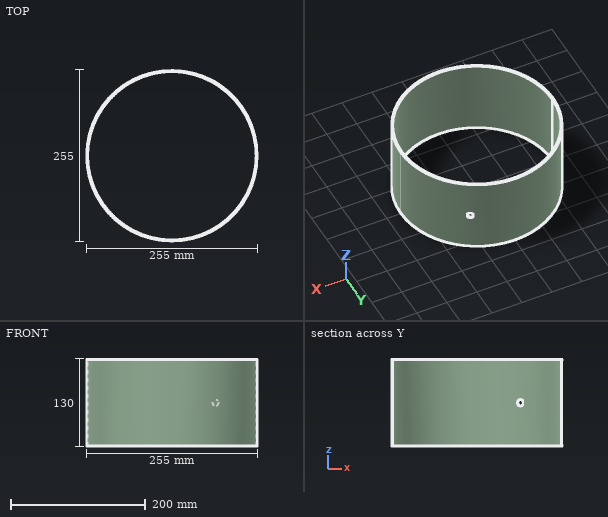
import cadquery as cq

outer_diameter = 255.0
height = 130.0
wall = 2.42

bevel_width = 0.71
bevel_height = 1.4

split_width = 2.0

hole_diameter = 10.0
hole_angle = 59.0

outer_radius = outer_diameter / 2
inner_radius = outer_radius - wall


def make_band():
    """Revolve the wall section, an upright strip with four bevelled corners."""
    rim_z = height / 2
    bevel_z = rim_z - bevel_height
    rim_inner = inner_radius + bevel_width
    rim_outer = outer_radius - bevel_width
    section = [
        (rim_inner, -rim_z),
        (rim_outer, -rim_z),
        (outer_radius, -bevel_z),
        (outer_radius, bevel_z),
        (rim_outer, rim_z),
        (rim_inner, rim_z),
        (inner_radius, bevel_z),
        (inner_radius, -bevel_z),
    ]
    return cq.Workplane("XZ").polyline(section).close().revolve(360, (0, 0, 0), (0, 1, 0))


def make_split():
    """Cutter that opens the band on its -X side only."""
    cutter = cq.Workplane("XY").box(outer_radius, split_width, height, centered=(True, False, True))
    return cutter.translate((-outer_radius, 0, 0))


def make_hole():
    """Radial cutter from the axis out through one side of the wall."""
    cutter = cq.Workplane("YZ").circle(hole_diameter / 2).extrude(outer_diameter)
    return cutter.rotate((0, 0, 0), (0, 0, 1), hole_angle)


result = make_band().cut(make_split()).cut(make_hole())